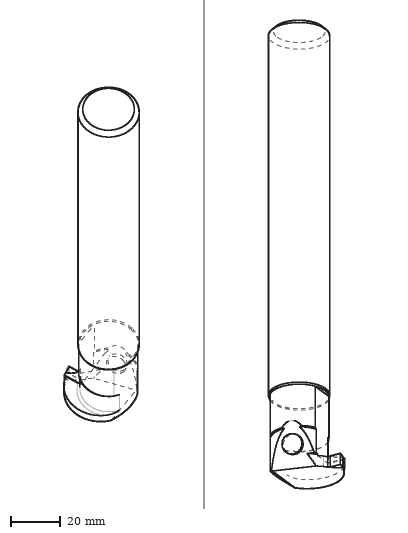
import cadquery as cq
import math

LENGTH = 200.0
OVERALL_WIDTH = 32.2
OVERALL_DEPTH = 27.5
SHANK_RADIUS = 25.0 / 2
SHANK_BOTTOM = 36.0
TOP_CHAMFER = 2.0

UPPER_NECK_RADIUS = 12.2
LOWER_NECK_RADIUS = 11.8
NECK_STEP_Z = 16.5
SHOULDER_CONE = 0.8
STEP_CONE = 0.5
NECK_FLAT_X = -10.8

HEEL_START_X = 7.5
HEEL_RUN = 1.9
HEEL_RISE = 1.3

BLADE_RADIUS = OVERALL_DEPTH - SHANK_RADIUS
BLADE_CENTER_X = -3.8
BLADE_BOTTOM = 0.1
BLADE_TOP = 4.5
BLADE_FILLET = 1.2

FINGER_TOP = 4.8
FINGER_BACK_Y = -4.2
FINGER_INNER_X = -10.0
RAKE_Y = 0.5
FINGER_OUTER_X = -19.0

TIP_X = SHANK_RADIUS - OVERALL_WIDTH
TIP_TOP = 5.0
TIP_SEAT_X = -15.0
TIP_END_Y = -2.8
TIP_SEAT_BULGE = 0.5

GULLET_RAMP_X = -13.8
GULLET_START_X = -12.5
GULLET_CORNER_Y = 2.0
GULLET_ANGLE = 40.0
GULLET_TOP = 5.5

CLAMP_TURN = 105.0
CLAMP_TILT = 17.0
SCREW_X = -2.5
SCREW_Y = 9.0
SCREW_Z = 9.5
SCREW_DIAMETER = 8.5
SCREW_HEAD_HEIGHT = 1.8

CLEAR = 40.0


def make_shank_and_neck():
    """Turned shank and stepped neck, flat on the neck's -X side and trimmed to the blade circle on +X."""
    turned = (
        cq.Workplane("XZ")
        .moveTo(0, BLADE_BOTTOM)
        .lineTo(LOWER_NECK_RADIUS, BLADE_BOTTOM)
        .lineTo(LOWER_NECK_RADIUS, NECK_STEP_Z - STEP_CONE)
        .lineTo(UPPER_NECK_RADIUS, NECK_STEP_Z)
        .lineTo(UPPER_NECK_RADIUS, SHANK_BOTTOM - SHOULDER_CONE)
        .lineTo(SHANK_RADIUS, SHANK_BOTTOM)
        .lineTo(SHANK_RADIUS, LENGTH - TOP_CHAMFER)
        .lineTo(SHANK_RADIUS - TOP_CHAMFER, LENGTH)
        .lineTo(0, LENGTH)
        .close()
        .revolve(360, (0, 0, 0), (0, 1, 0))
    )
    neck_top = SHANK_BOTTOM - SHOULDER_CONE
    flat_side = (
        cq.Workplane("XY")
        .box(CLEAR, 2 * CLEAR, neck_top, centered=(False, True, False))
        .translate((NECK_FLAT_X - CLEAR, 0, 0))
    )
    beyond_blade = (
        cq.Workplane("XY")
        .box(CLEAR, 2 * CLEAR, neck_top, centered=(False, True, False))
        .cut(blade_cylinder(0, neck_top))
    )
    return turned.cut(flat_side).cut(beyond_blade)


def blade_cylinder(bottom, top):
    """Cylinder on the blade's own axis, beside the shank axis."""
    return (
        cq.Workplane("XY", origin=(BLADE_CENTER_X, 0, bottom)).circle(BLADE_RADIUS).extrude(top - bottom)
    )


def space_beyond(y):
    """Tall block filling all space on the -Y side of the given Y."""
    return (
        cq.Workplane("XY")
        .box(2 * CLEAR, CLEAR, CLEAR, centered=(True, False, False))
        .translate((0, y - CLEAR, 0))
    )


def make_blade():
    """Curved blade, with a fillet ring where it meets the neck."""
    blade = blade_cylinder(BLADE_BOTTOM, BLADE_TOP).intersect(space_beyond(RAKE_Y))
    fillet_top = BLADE_TOP + BLADE_FILLET
    outer = LOWER_NECK_RADIUS + BLADE_FILLET
    arc_inset = BLADE_FILLET * (1 - math.cos(math.radians(45)))
    fillet_ring = (
        cq.Workplane("XZ")
        .moveTo(0, BLADE_TOP)
        .lineTo(outer, BLADE_TOP)
        .threePointArc(
            (LOWER_NECK_RADIUS + arc_inset, BLADE_TOP + arc_inset),
            (LOWER_NECK_RADIUS, fillet_top),
        )
        .lineTo(0, fillet_top)
        .close()
        .revolve(360, (0, 0, 0), (0, 1, 0))
        .intersect(blade_cylinder(BLADE_TOP, fillet_top))
        .intersect(space_beyond(FINGER_BACK_Y))
    )
    return blade.union(fillet_ring)


def gullet_wall_y(x):
    """Y of the slanting gullet wall at a given X."""
    return GULLET_CORNER_Y + (x - GULLET_START_X) * math.tan(math.radians(GULLET_ANGLE))


def make_finger():
    """Raised pad at the end of the blade, behind the cutting tip."""
    return (
        cq.Workplane("XY", origin=(0, 0, BLADE_BOTTOM))
        .polyline(
            [
                (FINGER_OUTER_X, RAKE_Y),
                (GULLET_RAMP_X, RAKE_Y),
                (GULLET_START_X, GULLET_CORNER_Y),
                (FINGER_INNER_X, gullet_wall_y(FINGER_INNER_X)),
                (FINGER_INNER_X, FINGER_BACK_Y),
                (FINGER_OUTER_X, FINGER_BACK_Y),
            ]
        )
        .close()
        .extrude(FINGER_TOP - BLADE_BOTTOM)
    )


def make_gullet():
    """Chip space cut into the neck on the +Y side of the finger."""
    return (
        cq.Workplane("XY")
        .polyline(
            [
                (-CLEAR, RAKE_Y),
                (GULLET_RAMP_X, RAKE_Y),
                (GULLET_START_X, GULLET_CORNER_Y),
                (CLEAR, gullet_wall_y(CLEAR)),
                (-CLEAR, gullet_wall_y(CLEAR)),
            ]
        )
        .close()
        .extrude(GULLET_TOP)
    )


def make_heel_cut():
    """Wedge that slopes the bottom upward toward +X."""
    slope = HEEL_RISE / HEEL_RUN
    rise = (CLEAR - HEEL_START_X) * slope
    return (
        cq.Workplane("XZ", origin=(0, CLEAR, 0))
        .polyline(
            [
                (HEEL_START_X, BLADE_BOTTOM),
                (CLEAR, BLADE_BOTTOM + rise),
                (CLEAR, BLADE_BOTTOM),
            ]
        )
        .close()
        .extrude(2 * CLEAR)
    )


def clamp_plane():
    """Plane of the clamp face, facing +Y, a little toward -X and downward."""
    turn = math.radians(CLAMP_TURN)
    tilt = math.radians(CLAMP_TILT)
    facing = cq.Vector(
        math.cos(turn) * math.cos(tilt),
        math.sin(turn) * math.cos(tilt),
        -math.sin(tilt),
    )
    return cq.Plane(origin=(SCREW_X, SCREW_Y, SCREW_Z), xDir=(-facing.y, facing.x, 0), normal=facing)


def make_tip():
    """Cutting tip with a curved seat against the finger and a relieved outer flank."""
    middle = (
        (TIP_SEAT_X + FINGER_OUTER_X) / 2 + TIP_SEAT_BULGE,
        (RAKE_Y + TIP_END_Y) / 2 - TIP_SEAT_BULGE,
    )
    return (
        cq.Workplane("XY")
        .moveTo(TIP_X, RAKE_Y)
        .lineTo(TIP_SEAT_X, RAKE_Y)
        .threePointArc(middle, (FINGER_OUTER_X, TIP_END_Y))
        .close()
        .extrude(TIP_TOP)
    )


def make_holder(tip):
    """Shank, neck, blade, finger and clamp screw head as one solid, recessed for the tip."""
    clamp_cut = cq.Workplane(clamp_plane()).rect(2 * CLEAR, 2 * CLEAR).extrude(CLEAR)
    screw_head = cq.Workplane(clamp_plane()).circle(SCREW_DIAMETER / 2).extrude(SCREW_HEAD_HEIGHT)
    return (
        make_shank_and_neck()
        .cut(make_gullet())
        .cut(clamp_cut)
        .union(make_blade())
        .union(make_finger())
        .cut(make_heel_cut())
        .union(screw_head)
        .cut(tip)
    )


cutting_tip = make_tip()
holder = make_holder(cutting_tip)

result = cq.Compound.makeCompound([holder.val(), cutting_tip.val()])